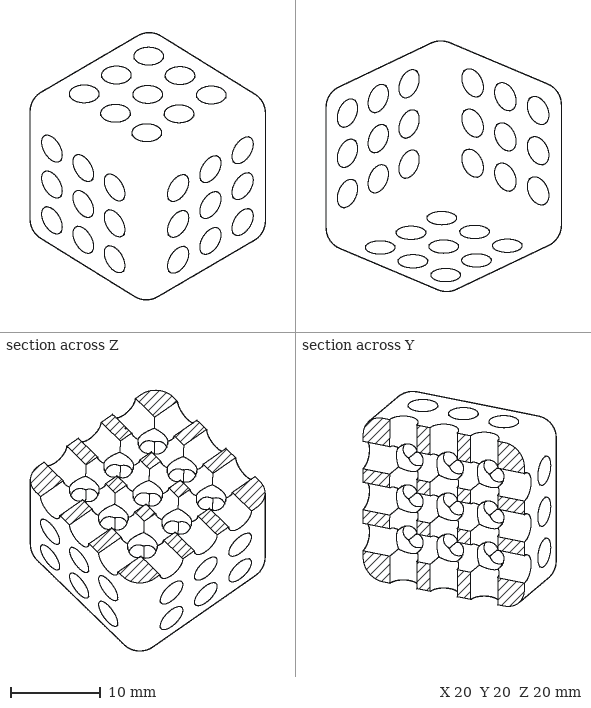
import cadquery as cq

side = 20.0
edge_radius = 2.5
hole_pitch = 5.0
hole_diameter = 3.3
holes_per_row = 3


def rounded_cube():
    """Cube centred on the origin with every edge and corner rounded."""
    return cq.Workplane("XY").box(side, side, side).edges().fillet(edge_radius)


def hole_grid(plane):
    """Square grid of rods, normal to the plane, that reach through the cube."""
    return (
        cq.Workplane(plane)
        .rarray(hole_pitch, hole_pitch, holes_per_row, holes_per_row)
        .circle(hole_diameter / 2)
        .extrude(side, both=True)
    )


result = rounded_cube()
for plane in ("XY", "XZ", "YZ"):
    result = result.cut(hole_grid(plane))